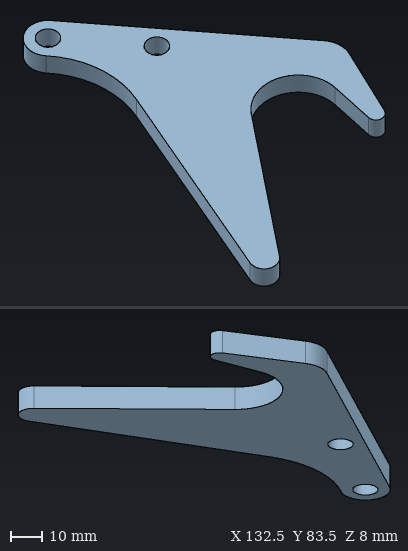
import cadquery as cq
import math

length = 132.5
width = 83.5
thickness = 8.0

boss_center = (0.0, 0.0)
boss_radius = 8.0
hole_diameter = 8.1
second_hole = (24.5, 24.9)

shoulder_radius = 10.0
shoulder_center = (63.1, 61.2)
hook_tip_radius = 3.0
hook_tip_center = (91.6, 60.8)
throat_radius = 15.1
arm_tip_radius = 5.0
blend_radius = 35.1

throat_center = (74.6, hook_tip_center[1] - hook_tip_radius - throat_radius)

arm_tip_center = (
    length - boss_radius - arm_tip_radius,
    shoulder_center[1] + shoulder_radius - width + arm_tip_radius,
)


def polar(center, radius, angle):
    return (center[0] + radius * math.cos(angle), center[1] + radius * math.sin(angle))


def tangent_angle(start, start_radius, end, end_radius):
    """Direction of the left-hand normal of a line touching two circles.

    Radii are positive for outward corners and negative for inward ones,
    with the outline followed clockwise.
    """
    dx = end[0] - start[0]
    dy = end[1] - start[1]
    tilt = math.asin((start_radius - end_radius) / math.hypot(dx, dy))
    return math.atan2(dy, dx) + math.pi / 2 - tilt


def arc_middle(center, radius, start_angle, end_angle):
    """Middle of the shorter arc between two directions."""
    x = math.cos(start_angle) + math.cos(end_angle)
    y = math.sin(start_angle) + math.sin(end_angle)
    return polar(center, radius, math.atan2(y, x))


corners = [
    (boss_center, boss_radius),
    (shoulder_center, shoulder_radius),
    (hook_tip_center, hook_tip_radius),
    (throat_center, -throat_radius),
    (arm_tip_center, arm_tip_radius),
]
edge_angles = [tangent_angle(*a, *b) for a, b in zip(corners, corners[1:])]

arm_edge_slope = math.radians(-12.2)
arm_edge_angle = arm_edge_slope - math.pi / 2
edge_offset = arm_tip_radius + blend_radius + (
    arm_tip_center[0] * math.cos(arm_edge_angle) + arm_tip_center[1] * math.sin(arm_edge_angle)
)
blend_reach = boss_radius + blend_radius
blend_direction = arm_edge_angle + math.acos(edge_offset / blend_reach)
blend_center = polar(boss_center, blend_reach, blend_direction)


def outline():
    profile = cq.Workplane("XY").moveTo(*polar(boss_center, boss_radius, edge_angles[0]))
    exit_angles = edge_angles[1:] + [arm_edge_angle]
    for (center, radius), entry, leave in zip(corners[1:], edge_angles, exit_angles):
        profile = profile.lineTo(*polar(center, radius, entry))
        profile = profile.threePointArc(
            arc_middle(center, radius, entry, leave), polar(center, radius, leave)
        )

    blend_end = blend_direction + math.pi
    profile = profile.lineTo(*polar(blend_center, -blend_radius, arm_edge_angle))
    profile = profile.threePointArc(
        arc_middle(blend_center, blend_radius, arm_edge_angle + math.pi, blend_end),
        polar(blend_center, blend_radius, blend_end),
    )
    boss_middle = (blend_direction + edge_angles[0] - 2 * math.pi) / 2
    profile = profile.threePointArc(
        polar(boss_center, boss_radius, boss_middle),
        polar(boss_center, boss_radius, edge_angles[0]),
    )
    return profile.close()


plate = outline().extrude(thickness)
holes = (
    cq.Workplane("XY")
    .pushPoints([boss_center, second_hole])
    .circle(hole_diameter / 2)
    .extrude(thickness)
)
result = plate.cut(holes)